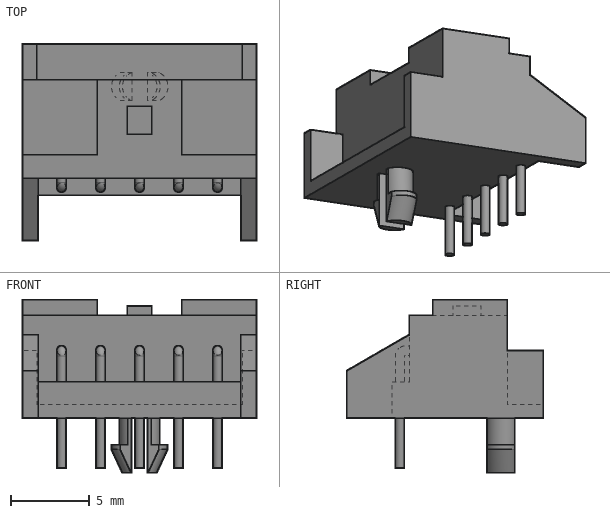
import cadquery as cq
import math


width = 15.0
length = 12.6
height = 7.6
back_y = 9.2
front_y = back_y - length
back_step_length = 2.3
back_step_z = 4.35
block_length = 6.3
block_back_y = back_y - back_step_length
wall_front_y = block_back_y - block_length
ledge_length = 1.1
ledge_front_y = wall_front_y - ledge_length
ledge_z = 2.35
pad_height = 1.0
deck_z = height - pad_height

wing_thickness = 1.0
wing_front_z = 3.05
wing_slope_degrees = 30.0
wing_length = wall_front_y - front_y
wing_back_z = wing_front_z + wing_length * math.tan(math.radians(wing_slope_degrees))

back_wall_thickness = 0.9
back_floor_z = 0.9

pad_size = 4.8
tab_width = 1.6
tab_length = 1.8
tab_height = 0.6
tab_setback = 1.7
tab_back_y = block_back_y - tab_setback

pin_count = 5
pin_pitch = 2.5
pin_diameter = 0.6
pin_bottom_z = -3.2
pin_bend_z = 4.0
pin_bend_radius = 0.35
pin_embed = 1.0

clip_depth = 1.8
clip_setback = 2.72
clip_y = back_y - clip_setback
clip_slot = 1.0
clip_arc_radius = 1.0
clip_shaft_reach = 1.31
clip_head_reach = 1.81
clip_tip_reach = 1.11
clip_head_top_z = -1.7
clip_rim_bottom_z = -2.0
clip_bottom_z = -3.5
clip_embed = 0.3


def box(x_min, x_max, y_min, y_max, z_min, z_max):
    """Axis-aligned block between the given limits."""
    size = (x_max - x_min, y_max - y_min, z_max - z_min)
    return cq.Workplane("XY").box(*size, centered=False).translate((x_min, y_min, z_min))


def make_housing():
    half = width / 2
    main = box(-half, half, wall_front_y, block_back_y, 0, deck_z)
    back = box(-half, half, block_back_y, back_y, 0, back_step_z)
    ledge = box(-half, half, ledge_front_y, wall_front_y, 0, ledge_z)
    notch_half = half - back_wall_thickness
    notch = box(-notch_half, notch_half, block_back_y, back_y, back_floor_z, back_step_z)
    return main.union(back).union(ledge).cut(notch)


def make_wing(x_min):
    """Side plate with a sloped top edge falling toward the front."""
    return (
        cq.Workplane("YZ", origin=(x_min, 0, 0))
        .moveTo(wall_front_y, 0)
        .lineTo(front_y, 0)
        .lineTo(front_y, wing_front_z)
        .lineTo(wall_front_y, wing_back_z)
        .close()
        .extrude(wing_thickness)
    )


def make_pad(x_min):
    return box(x_min, x_min + pad_size, block_back_y - pad_size, block_back_y, deck_z, height)


def make_tab():
    half = tab_width / 2
    return box(-half, half, tab_back_y - tab_length, tab_back_y, deck_z, deck_z + tab_height)


def make_pin(x):
    """Round pin: vertical leg, quarter bend, then a short run into the wall."""
    run_z = pin_bend_z + pin_bend_radius
    bend_mid_y = pin_bend_radius * (1 - math.cos(math.pi / 4))
    bend_mid_z = pin_bend_z + pin_bend_radius * math.sin(math.pi / 4)
    path = (
        cq.Workplane("YZ", origin=(x, 0, 0))
        .moveTo(0, pin_bottom_z)
        .lineTo(0, pin_bend_z)
        .threePointArc((bend_mid_y, bend_mid_z), (pin_bend_radius, run_z))
        .lineTo(wall_front_y + pin_embed, run_z)
    )
    section = cq.Workplane("XY", origin=(x, 0, pin_bottom_z)).circle(pin_diameter / 2)
    return section.sweep(path)


def clip_section(reach, z):
    """Closed section of the +X clip leg: flat at the slot, arc on the outside."""
    half_depth = clip_depth / 2
    arc_rise = clip_arc_radius - math.sqrt(clip_arc_radius**2 - half_depth**2)
    slot_x = clip_slot / 2
    edge_x = reach - arc_rise
    return (
        cq.Workplane("XY", origin=(0, clip_y, z))
        .moveTo(slot_x, -half_depth)
        .lineTo(edge_x, -half_depth)
        .threePointArc((reach, 0), (edge_x, half_depth))
        .lineTo(slot_x, half_depth)
        .close()
    )


def make_clip_leg():
    """The +X leg: straight shaft, overhanging rim and a barb tapering to the tip."""
    shaft = clip_section(clip_shaft_reach, clip_rim_bottom_z).extrude(clip_embed - clip_rim_bottom_z)
    rim = clip_section(clip_head_reach, clip_rim_bottom_z).extrude(clip_head_top_z - clip_rim_bottom_z)
    barb_top = clip_section(clip_head_reach, clip_rim_bottom_z).val()
    barb_tip = clip_section(clip_tip_reach, clip_bottom_z).val()
    barb = cq.Workplane(cq.Solid.makeLoft([barb_top, barb_tip], True))
    return shaft.union(rim).union(barb)


result = make_housing().union(make_tab())
for wing_x in (-width / 2, width / 2 - wing_thickness):
    result = result.union(make_wing(wing_x))
for pad_x in (-width / 2, width / 2 - pad_size):
    result = result.union(make_pad(pad_x))
for index in range(pin_count):
    pin_x = (index - (pin_count - 1) / 2) * pin_pitch
    result = result.union(make_pin(pin_x))
clip_leg = make_clip_leg()
result = result.union(clip_leg).union(clip_leg.mirror("YZ"))